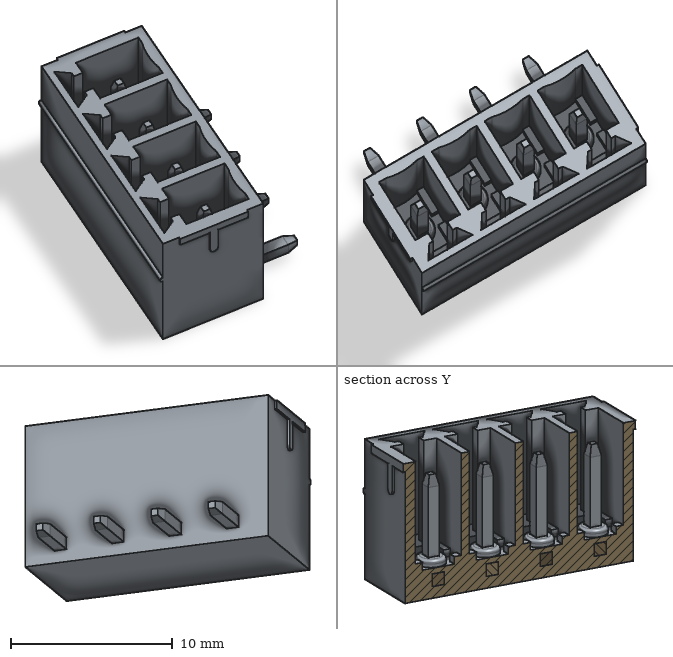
import cadquery as cq


width = 16.13
depth = 7.0
height = 9.2
back_y = depth / 2
front_y = -depth / 2

ways = 4
pitch = 3.81
way_xs = [(i - (ways - 1) / 2) * pitch for i in range(ways)]

cavity_width = 3.22
cavity_length = 4.35
cavity_back_y = back_y - 0.62
cavity_front_y = cavity_back_y - cavity_length
cavity_floor_z = 2.5
neck_width = 1.4
neck_front_y = cavity_front_y - 0.62
dovetail_width = 1.99
dovetail_front_y = neck_front_y - 0.9

recess_width = 2.22
recess_length = 3.9
recess_floor_z = 2.0
bulge = 0.15

pin_size = 0.79
pin_tip_size = 0.45
pin_taper = 0.74
pin_y = back_y - 2.81
pin_z = 1.2
pin_top_z = height - 1.35
pin_end_y = back_y + 3.5

boss_diameter = 1.92
boss_round = 0.25
boss_top_z = cavity_floor_z

pad_thickness = 0.15
pad_bar_length = 4.73
pad_bar_height = 0.58
pad_stem_width = 0.53
pad_reach = 2.51

rib_radius = 0.2
rib_z = 5.77


def make_end_pad(inner_x):
    """T-shaped pad growing from inner_x towards +X."""
    half_stem = pad_stem_width / 2
    half_bar = pad_bar_length / 2
    bar_z = height - pad_bar_height
    stem_end_z = height - pad_reach
    arc_z = stem_end_z + half_stem
    return (
        cq.Workplane("YZ", origin=(inner_x, 0, 0))
        .moveTo(-half_bar, height)
        .lineTo(-half_bar, bar_z)
        .lineTo(-half_stem, bar_z)
        .lineTo(-half_stem, arc_z)
        .threePointArc((0, stem_end_z), (half_stem, arc_z))
        .lineTo(half_stem, bar_z)
        .lineTo(half_bar, bar_z)
        .lineTo(half_bar, height)
        .close()
        .extrude(pad_thickness)
    )


def make_rib():
    """Full-length round bar on the front face, half of it buried in the housing."""
    return cq.Workplane("YZ", origin=(-width / 2, front_y, rib_z)).circle(rib_radius).extrude(width)


def make_cavity(x):
    """Space for one plug: keyed opening down to the floor, then the recess and its cross slot."""
    half_cavity = cavity_width / 2
    half_recess = recess_width / 2
    half_neck = neck_width / 2
    half_dovetail = dovetail_width / 2
    bulge_y = cavity_back_y - bulge
    opening = (
        cq.Workplane("XY", origin=(x, 0, cavity_floor_z))
        .moveTo(-half_cavity, cavity_back_y)
        .lineTo(-half_recess, cavity_back_y)
        .threePointArc((0, bulge_y), (half_recess, cavity_back_y))
        .lineTo(half_cavity, cavity_back_y)
        .lineTo(half_cavity, cavity_front_y)
        .lineTo(half_neck, cavity_front_y)
        .lineTo(half_neck, neck_front_y)
        .lineTo(half_dovetail, neck_front_y)
        .lineTo(half_cavity, dovetail_front_y)
        .lineTo(-half_cavity, dovetail_front_y)
        .lineTo(-half_dovetail, neck_front_y)
        .lineTo(-half_neck, neck_front_y)
        .lineTo(-half_neck, cavity_front_y)
        .lineTo(-half_cavity, cavity_front_y)
        .close()
        .extrude(height - cavity_floor_z)
    )
    recess_depth = cavity_floor_z - recess_floor_z
    recess_front_y = cavity_back_y - recess_length
    recess = (
        cq.Workplane("XY", origin=(x, 0, recess_floor_z))
        .moveTo(-half_recess, cavity_back_y)
        .threePointArc((0, bulge_y), (half_recess, cavity_back_y))
        .lineTo(half_recess, recess_front_y)
        .lineTo(-half_recess, recess_front_y)
        .close()
        .extrude(recess_depth)
    )
    cross_slot = (
        cq.Workplane("XY", origin=(x, pin_y, recess_floor_z))
        .rect(cavity_width, pin_size)
        .extrude(recess_depth)
    )
    return opening.union(recess).union(cross_slot)


def make_boss(x):
    """Round boss with a rounded rim, standing on the recess floor."""
    return (
        cq.Workplane("XY", origin=(x, pin_y, recess_floor_z))
        .circle(boss_diameter / 2)
        .extrude(boss_top_z - recess_floor_z)
        .faces(">Z")
        .edges()
        .fillet(boss_round)
    )


def make_leg(plane, length):
    """Square bar along the plane's normal, tapering to a blunt tip over its last stretch."""
    straight = length - pin_taper
    bar = cq.Workplane(plane).rect(pin_size, pin_size).extrude(straight)
    tip = (
        cq.Workplane(plane)
        .workplane(offset=straight)
        .rect(pin_size, pin_size)
        .workplane(offset=pin_taper)
        .rect(pin_tip_size, pin_tip_size)
        .loft(ruled=True)
    )
    return bar.union(tip)


def make_pin(x):
    """Upright leg and level leg meeting in a square corner."""
    corner_y = pin_y - pin_size / 2
    corner_z = pin_z - pin_size / 2
    upright = make_leg(cq.Plane((x, pin_y, corner_z), (1, 0, 0), (0, 0, 1)), pin_top_z - corner_z)
    level = make_leg(cq.Plane((x, corner_y, pin_z), (1, 0, 0), (0, 1, 0)), pin_end_y - corner_y)
    return upright.union(level)


def make_housing(pins):
    """Block with rib, end pads and cavities, with a matching passage for every pin."""
    body = cq.Workplane("XY").box(width, depth, height, centered=(True, True, False))
    body = body.union(make_rib())
    body = body.union(make_end_pad(width / 2))
    body = body.union(make_end_pad(-width / 2 - pad_thickness))
    for x, pin in zip(way_xs, pins):
        body = body.cut(make_cavity(x)).union(make_boss(x)).cut(pin)
    return body


pins = [make_pin(x) for x in way_xs]
housing = make_housing(pins)

result = cq.Compound.makeCompound([housing.val(), *[pin.val() for pin in pins]])